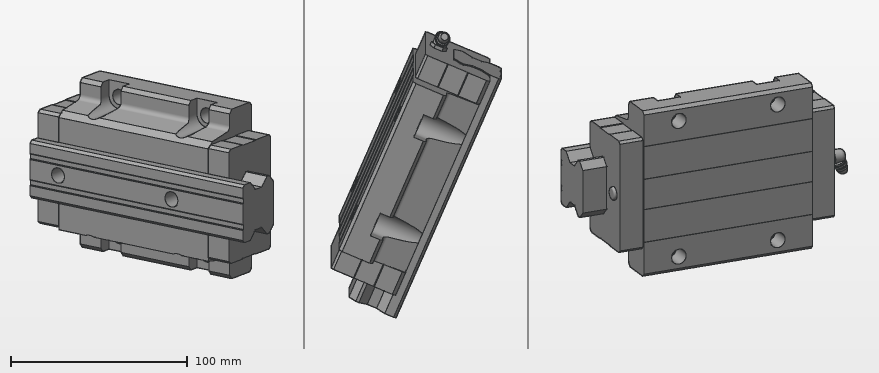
import cadquery as cq


rail_length = 150.1
rail_start_x = -67.9
rail_height = 29.1
rail_width = 34.1
rail_waist_width = 23.8
rail_top_width = 25.7
rail_head_low_y = 23.0
rail_waist_top_y = 17.9
rail_waist_bottom_y = 12.0
rail_foot_top_y = 7.0
rail_head_high_y = rail_height - (rail_width - rail_top_width) / 2
rail_foot_chamfer = 1.6
base_groove_inner_z = 6.0
base_groove_width = 3.5
base_groove_depth = 0.5
base_groove_flank = 0.5
mount_hole_diameter = 9.0
mount_hole_pitch = 80.0
first_mount_hole_x = rail_start_x + 19.8

body_length = 105.5
body_width = 100.0
body_top_y = 48.0
body_bottom_y = 7.0
flange_thickness = 20.8
flange_top_chamfer = 2.0
flange_bottom_chamfer_y = 2.0
flange_bottom_chamfer_z = 2.4
flange_bottom_y = body_top_y - flange_thickness
skirt_root_half_width = 38.0
skirt_foot_half_width = 34.6
skirt_fillet = 3.0
skirt_chamfer_y = 3.5
skirt_chamfer_z = 2.9
top_recess_inner_z = 9.2
top_recess_width = 19.8
top_recess_depth = 0.3

bolt_hole_diameter = 9.0
bolt_pitch_x = 62.0
bolt_pitch_z = 82.0
spot_face_diameter = 14.2
bolt_seat_thickness = 13.0
bolt_seat_y = body_top_y - bolt_seat_thickness

cap_length = 14.5
cap_width = 67.4
cap_top_y = 46.5
cap_bottom_y = 6.8
cap_top_chamfer = 1.5
cap_bottom_chamfer_y = 2.1
cap_bottom_chamfer_z = 1.6
side_recess_bottom_y = 20.0
side_recess_top_y = 32.8
side_recess_depth = 0.3
side_recess_flank = 0.5
cap_end_x = body_length / 2 + cap_length

nipple_y = 38.8
hex_length = 2.1
hex_corner_diameter = 9.8
elbow_diameter = 8.0
elbow_length = 7.4
elbow_rounding = 2.5
nozzle_tilt = 25
nozzle_axis_offset = 4.7
nozzle_neck_diameter = 5.5
nozzle_head_diameter = 7.9
nozzle_ring_diameter = 6.6
nozzle_neck_radius = nozzle_neck_diameter / 2
nozzle_head_radius = nozzle_head_diameter / 2
nozzle_ring_radius = nozzle_ring_diameter / 2
nozzle_tip_radius = 2.1
nozzle_head_start = 2.3
nozzle_head_full = 3.4
nozzle_slit_start = 4.7
nozzle_slit_end = 5.0
nozzle_head_end = 6.3
nozzle_ring_start = 7.0
nozzle_ring_end = 8.5
nozzle_ring_taper_end = 10.1
nozzle_rib_bevel = 0.3
nozzle_length = 11.3
plug_diameter = 7.9
plug_length = 1.6
plug_rounding = 1.1


def prism(points, start_x, length):
    """Extrude an outline of (Y, Z) points along +X."""
    return cq.Workplane("YZ").workplane(offset=start_x).polyline(points).close().extrude(length)


def box(x_range, y_range, z_range):
    """Box spanning the given (low, high) ranges."""
    size = [high - low for low, high in (x_range, y_range, z_range)]
    return cq.Workplane("XY").box(*size, centered=False).translate((x_range[0], y_range[0], z_range[0]))


def mirrored_outline(half):
    """Complete a +Z half outline with its mirror image in -Z."""
    return half + [(y, -z) for y, z in reversed(half)]


def rail_outline():
    side = rail_width / 2
    waist = rail_waist_width / 2
    return mirrored_outline([
        (0, side - rail_foot_chamfer),
        (rail_foot_chamfer, side),
        (rail_foot_top_y, side),
        (rail_waist_bottom_y, waist),
        (rail_waist_top_y, waist),
        (rail_head_low_y, side),
        (rail_head_high_y, side),
        (rail_height, rail_top_width / 2),
    ])


def rail_blank():
    return prism(rail_outline(), rail_start_x, rail_length)


def base_groove(low_z):
    """Shallow groove with sloping flanks along the rail base."""
    high_z = low_z + base_groove_width
    outline = [
        (0, low_z),
        (base_groove_depth, low_z + base_groove_flank),
        (base_groove_depth, high_z - base_groove_flank),
        (0, high_z),
    ]
    return prism(outline, rail_start_x, rail_length)


def make_rail():
    rail = rail_blank()
    for low_z in (base_groove_inner_z, -base_groove_inner_z - base_groove_width):
        rail = rail.cut(base_groove(low_z))
    for hole_x in (first_mount_hole_x, first_mount_hole_x + mount_hole_pitch):
        hole = cq.Workplane("XZ").center(hole_x, 0).circle(mount_hole_diameter / 2).extrude(-rail_height)
        rail = rail.cut(hole)
    return rail


def body_blank():
    """Flanged block; only its +Z skirt has a chamfered foot."""
    side = body_width / 2
    flange_half = [
        (flange_bottom_y, skirt_root_half_width),
        (flange_bottom_y, side - flange_bottom_chamfer_z),
        (flange_bottom_y + flange_bottom_chamfer_y, side),
        (body_top_y - flange_top_chamfer, side),
        (body_top_y, side - flange_top_chamfer),
    ]
    skirt_slope = (skirt_root_half_width - skirt_foot_half_width) / (flange_bottom_y - body_bottom_y)
    chamfer_start_half_width = skirt_foot_half_width + skirt_slope * skirt_chamfer_y
    outline = [
        (body_bottom_y, -skirt_foot_half_width),
        (body_bottom_y, skirt_foot_half_width - skirt_chamfer_z),
        (body_bottom_y + skirt_chamfer_y, chamfer_start_half_width),
    ] + mirrored_outline(flange_half)
    body = prism(outline, -body_length / 2, body_length)
    for side_sign in (1, -1):
        root = (0, flange_bottom_y, side_sign * skirt_root_half_width)
        body = body.edges(cq.NearestToPointSelector(root)).fillet(skirt_fillet)
    return body


def cut_top_recesses(body):
    """Two shallow strips along the mounting face."""
    body_x = (-body_length / 2, body_length / 2)
    recess_y = (body_top_y - top_recess_depth, body_top_y)
    for low_z in (top_recess_inner_z, -top_recess_inner_z - top_recess_width):
        body = body.cut(box(body_x, recess_y, (low_z, low_z + top_recess_width)))
    return body


def cut_bolt_holes(body):
    """Through holes whose spot faces open to the flange edge and run down the skirt."""
    spot_radius = spot_face_diameter / 2
    for hole_x in (-bolt_pitch_x / 2, bolt_pitch_x / 2):
        for side_sign in (1, -1):
            hole_z = side_sign * bolt_pitch_z / 2
            edge_z = side_sign * body_width / 2
            plane = cq.Workplane("XZ").center(hole_x, hole_z)
            hole = plane.circle(bolt_hole_diameter / 2).extrude(-body_top_y)
            spot_face = plane.circle(spot_radius).extrude(-bolt_seat_y)
            opening = box(
                (hole_x - spot_radius, hole_x + spot_radius),
                (0, bolt_seat_y),
                (min(hole_z, edge_z), max(hole_z, edge_z)),
            )
            body = body.cut(hole).cut(spot_face).cut(opening)
    return body


def make_cap(start_x):
    side = cap_width / 2
    recessed_side = side - side_recess_depth
    outline = mirrored_outline([
        (cap_bottom_y, side - cap_bottom_chamfer_z),
        (cap_bottom_y + cap_bottom_chamfer_y, side),
        (side_recess_bottom_y, side),
        (side_recess_bottom_y + side_recess_flank, recessed_side),
        (side_recess_top_y - side_recess_flank, recessed_side),
        (side_recess_top_y, side),
        (cap_top_y - cap_top_chamfer, side),
        (cap_top_y, side - cap_top_chamfer),
    ])
    return prism(outline, start_x, cap_length)


def make_nozzle():
    """Ribbed nozzle revolved about Z, pointing down from its origin, then tilted towards -X."""
    profile = [
        (0, 0),
        (nozzle_neck_radius, 0),
        (nozzle_neck_radius, nozzle_head_start),
        (nozzle_head_radius, nozzle_head_full),
        (nozzle_head_radius, nozzle_slit_start),
        (nozzle_ring_radius, nozzle_slit_start),
        (nozzle_ring_radius, nozzle_slit_end),
        (nozzle_head_radius, nozzle_slit_end),
        (nozzle_head_radius, nozzle_head_end),
        (nozzle_neck_radius, nozzle_head_end + nozzle_rib_bevel),
        (nozzle_neck_radius, nozzle_ring_start),
        (nozzle_ring_radius, nozzle_ring_start + nozzle_rib_bevel),
        (nozzle_ring_radius, nozzle_ring_end),
        (nozzle_neck_radius, nozzle_ring_taper_end),
        (nozzle_tip_radius, nozzle_length),
        (0, nozzle_length),
    ]
    outline = [(radius, -distance) for radius, distance in profile]
    nozzle = cq.Workplane("XZ").polyline(outline).close().revolve(360, (0, 0), (0, 1))
    return nozzle.rotate((0, 0, 0), (0, 1, 0), nozzle_tilt)


def make_nipple():
    """Angled grease nipple on the -X cap."""
    base = cq.Workplane("YZ").workplane(offset=-cap_end_x).center(nipple_y, 0)
    nut = base.polygon(6, hex_corner_diameter).extrude(-hex_length)
    elbow = base.circle(elbow_diameter / 2).extrude(-hex_length - elbow_length)
    elbow = elbow.faces("<X").edges().fillet(elbow_rounding)
    nozzle = make_nozzle().translate((-cap_end_x - nozzle_axis_offset, nipple_y, 0))
    return nut.union(elbow).union(nozzle)


def make_plug():
    """Round plug on the +X cap, in line with the nipple."""
    plug = cq.Workplane("YZ").workplane(offset=cap_end_x).center(nipple_y, 0)
    plug = plug.circle(plug_diameter / 2).extrude(plug_length)
    return plug.faces(">X").edges().fillet(plug_rounding)


def make_carriage():
    carriage = cut_bolt_holes(cut_top_recesses(body_blank()))
    for start_x in (-cap_end_x, body_length / 2):
        carriage = carriage.union(make_cap(start_x))
    return carriage.union(make_nipple()).union(make_plug()).cut(rail_blank())


rail = make_rail()
carriage = make_carriage()
result = cq.Compound.makeCompound([*rail.solids().vals(), *carriage.solids().vals()])